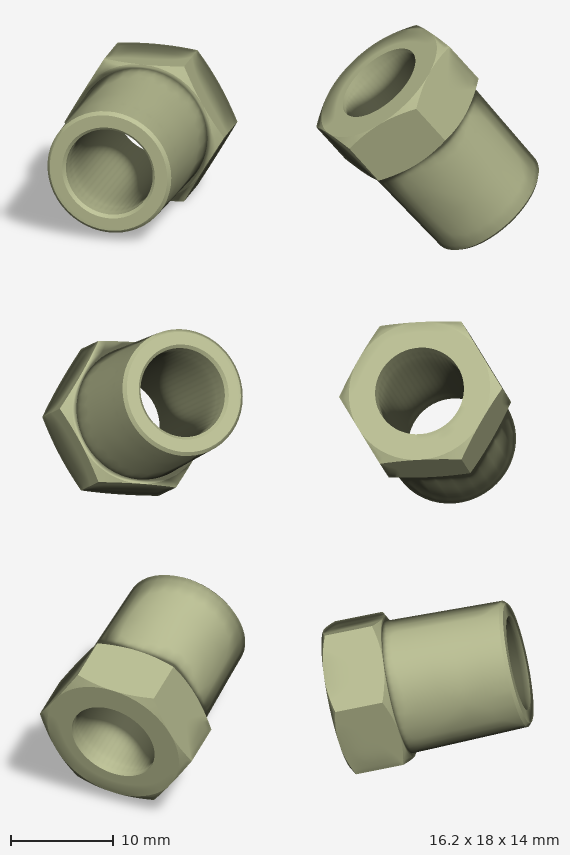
import cadquery as cq
import math

across_flats = 14.0
across_corners = across_flats / math.cos(math.radians(30))
head_length = 6.0
head_chamfer_angle = 30.0
envelope_clearance = 1.0

spigot_length = 12.0
root_diameter = 13.16
tip_diameter = 12.55
tip_chamfer = 0.32

bore_diameter = 8.8
bore_chamfer = 0.3

total_length = spigot_length + head_length


def revolve_about_y(profile):
    """Spin a closed XY profile a full turn about the part axis."""
    return profile.close().revolve(360, (0, 0, 0), (0, 1, 0))


def make_head():
    """Hexagonal prism with corners on X, its corners chamfered at both ends."""
    prism = (
        cq.Workplane("XZ", origin=(0, total_length, 0))
        .polygon(6, across_corners)
        .extrude(head_length)
    )
    flat_radius = across_flats / 2
    envelope_radius = across_corners / 2 + envelope_clearance
    bevel_height = (envelope_radius - flat_radius) * math.tan(math.radians(head_chamfer_angle))
    envelope = revolve_about_y(
        cq.Workplane("XY")
        .moveTo(0, spigot_length)
        .lineTo(flat_radius, spigot_length)
        .lineTo(envelope_radius, spigot_length + bevel_height)
        .lineTo(envelope_radius, total_length - bevel_height)
        .lineTo(flat_radius, total_length)
        .lineTo(0, total_length)
    )
    return prism.intersect(envelope)


def make_spigot():
    """Cone narrowing towards its tip, with a chamfered tip edge."""
    tip_radius = tip_diameter / 2
    return revolve_about_y(
        cq.Workplane("XY")
        .lineTo(tip_radius - tip_chamfer, 0)
        .lineTo(tip_radius, tip_chamfer)
        .lineTo(root_diameter / 2, spigot_length)
        .lineTo(0, spigot_length)
    )


def make_bore():
    """Through hole with a chamfered mouth at the spigot tip."""
    bore_radius = bore_diameter / 2
    return revolve_about_y(
        cq.Workplane("XY")
        .lineTo(bore_radius + bore_chamfer, 0)
        .lineTo(bore_radius, bore_chamfer)
        .lineTo(bore_radius, total_length)
        .lineTo(0, total_length)
    )


result = make_head().union(make_spigot()).cut(make_bore())